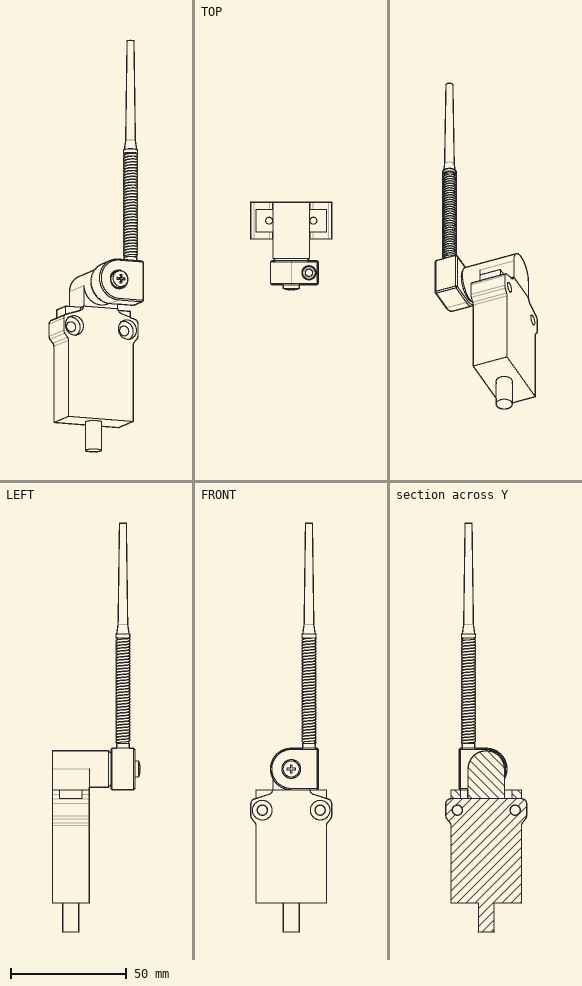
import cadquery as cq
import math


body_width = 30.5
body_depth = 16.0
body_height = 49.0
lug_width = 35.0
lug_slope_angle = 17.5
shoulder_half_width = 8.1
shoulder_edge_height = 44.55
lug_bottom_height = 37.0
lug_foot_height = 34.2
lug_edge_radius = 2.0
mount_spacing = 25.0
mount_height = 40.2
mount_hole_diameter = 4.3
counterbore_diameter = 8.5
counterbore_depth = 3.5
cable_diameter = 7.0
cable_length = 12.5

head_radius = 7.9
axis_height = 58.0
head_length = 25.25
head_end_chamfer = 1.0
flange_depth = 9.7
flange_height = 3.75
flange_hole_diameter = 3.0
flange_hole_x = 9.55

lever_radius = 9.0
lever_end_x = 11.75
lever_thickness = 10.5
lever_chamfer = 0.6
recess_diameter = 8.13
recess_depth = 0.8
overall_depth = 37.96
screw_diameter = 7.0
screw_crown_height = 0.7
cross_length = 3.6
cross_width = 0.8
cross_depth = 1.0

rod_x = 7.65
overall_height = 176.75
rod_tip_diameter = 3.1
rod_base_diameter = 4.3
cone_diameter = 5.5
collar_diameter = 6.1
stub_diameter = 5.5
socket_depth = 5.0
stub_length = 2.0
coil_core_diameter = 5.0
wire_diameter = collar_diameter - coil_core_diameter
wire_embed = 0.1
coil_length = 45.7
coil_pitch = 1.275
collar_height = 1.6
cone_height = 4.1

lever_back_y = -head_length
lever_front_y = lever_back_y - lever_thickness
rod_y = lever_back_y - lever_thickness / 2
lever_top_z = axis_height + lever_radius
flange_bottom_z = body_height - flange_height


def make_housing():
    """Body with two mounting lugs, a slot for the head's flange and the cable."""
    half_body = body_width / 2
    half_lug = lug_width / 2
    slope_rise = (half_lug - shoulder_half_width) * math.tan(math.radians(lug_slope_angle))
    right_side = [
        (half_body, 0),
        (half_body, lug_foot_height),
        (half_lug, lug_bottom_height),
        (half_lug, shoulder_edge_height),
        (shoulder_half_width, shoulder_edge_height + slope_rise),
        (shoulder_half_width, body_height),
    ]
    left_side = [(-x, z) for x, z in reversed(right_side)]
    housing = cq.Workplane("XZ").polyline(right_side + left_side).close().extrude(body_depth)
    for x, z in right_side[1:5] + left_side[1:5]:
        edge_point = (x, -body_depth / 2, z)
        housing = housing.edges(cq.selectors.NearestToPointSelector(edge_point)).fillet(lug_edge_radius)

    mount_points = [(side * mount_spacing / 2, mount_height) for side in (-1, 1)]
    mount_holes = (
        cq.Workplane("XZ").pushPoints(mount_points).circle(mount_hole_diameter / 2).extrude(body_depth)
    )
    counterbores = (
        cq.Workplane("XZ", origin=(0, -body_depth, 0))
        .pushPoints(mount_points)
        .circle(counterbore_diameter / 2)
        .extrude(-counterbore_depth)
    )
    cable = (
        cq.Workplane("XY", origin=(0, -body_depth / 2, 0))
        .circle(cable_diameter / 2)
        .extrude(-cable_length)
    )
    return housing.cut(mount_holes).cut(counterbores).cut(flange_block()).union(cable)


def flange_block():
    """Block that fills the slot across the housing's top."""
    return (
        cq.Workplane("XY", origin=(0, -body_depth / 2, flange_bottom_z))
        .rect(body_width, flange_depth)
        .extrude(flange_height)
    )


def make_head():
    """Arched block with a cylindrical nose, standing on a drilled flange."""
    block = (
        cq.Workplane("XZ")
        .moveTo(-head_radius, body_height)
        .lineTo(head_radius, body_height)
        .lineTo(head_radius, axis_height)
        .threePointArc((0, axis_height + head_radius), (-head_radius, axis_height))
        .close()
        .extrude(body_depth)
    )
    nose = (
        cq.Workplane("XZ", origin=(0, 0, axis_height))
        .circle(head_radius)
        .extrude(head_length)
        .faces("<Y")
        .chamfer(head_end_chamfer)
    )
    flange_holes = (
        cq.Workplane("XY", origin=(0, -body_depth / 2, flange_bottom_z))
        .pushPoints([(-flange_hole_x, 0), (flange_hole_x, 0)])
        .circle(flange_hole_diameter / 2)
        .extrude(flange_height)
    )
    return block.union(nose).union(flange_block().cut(flange_holes))


def make_lever():
    """D-shaped lever with a rod socket and a cross-recessed screw head in its front face."""
    lever = (
        cq.Workplane("XZ", origin=(0, lever_back_y, axis_height))
        .moveTo(0, lever_radius)
        .lineTo(lever_end_x, lever_radius)
        .lineTo(lever_end_x, -lever_radius)
        .lineTo(0, -lever_radius)
        .threePointArc((-lever_radius, 0), (0, lever_radius))
        .close()
        .extrude(lever_thickness)
        .faces("<Y or >Y or >X")
        .edges()
        .chamfer(lever_chamfer)
    )
    recess_floor_y = lever_front_y + recess_depth
    recess = (
        cq.Workplane("XZ", origin=(0, recess_floor_y, axis_height))
        .circle(recess_diameter / 2)
        .extrude(recess_depth)
    )
    socket = (
        cq.Workplane("XY", origin=(rod_x, rod_y, lever_top_z))
        .circle(stub_diameter / 2)
        .extrude(-socket_depth)
    )
    return lever.cut(recess).cut(socket).union(screw_head(recess_floor_y))


def screw_head(floor_y):
    """Screw head with a domed top and a cross recess, standing on the plane Y = floor_y."""
    screw_radius = screw_diameter / 2
    dome_radius = (screw_radius**2 + screw_crown_height**2) / (2 * screw_crown_height)
    corner_radius = math.hypot(cross_width / 2, cross_width / 2)
    apex_y = -overall_depth - (dome_radius - math.sqrt(dome_radius**2 - corner_radius**2))
    crown_base_y = apex_y + screw_crown_height
    half_angle = math.asin(screw_radius / dome_radius) / 2
    arc_middle = (
        dome_radius * math.sin(half_angle),
        apex_y + dome_radius * (1 - math.cos(half_angle)),
    )
    head = (
        cq.Workplane("XY", origin=(0, 0, axis_height))
        .moveTo(0, floor_y)
        .lineTo(screw_radius, floor_y)
        .lineTo(screw_radius, crown_base_y)
        .threePointArc(arc_middle, (0, apex_y))
        .close()
        .revolve(360, (0, 0, 0), (0, 1, 0))
    )
    cross_start = cq.Workplane("XZ", origin=(0, apex_y, axis_height))
    flat_slot = cross_start.rect(cross_length, cross_width).extrude(-cross_depth)
    upright_slot = cross_start.rect(cross_width, cross_length).extrude(-cross_depth)
    return head.cut(flat_slot).cut(upright_slot)


def make_rod():
    """Tapered rod on a coiled flexible stem, with a plain stub that sits in the lever's socket."""
    coil_bottom = lever_top_z + stub_length
    coil_top = coil_bottom + coil_length
    collar_top = coil_top + collar_height
    cone_top = collar_top + cone_height
    tip = overall_height - cable_length
    stem = (
        cq.Workplane("XZ", origin=(rod_x, rod_y, 0))
        .moveTo(0, lever_top_z - socket_depth)
        .lineTo(stub_diameter / 2, lever_top_z - socket_depth)
        .lineTo(stub_diameter / 2, coil_bottom)
        .lineTo(coil_core_diameter / 2, coil_bottom)
        .lineTo(coil_core_diameter / 2, coil_top)
        .lineTo(collar_diameter / 2, coil_top)
        .lineTo(collar_diameter / 2, collar_top)
        .lineTo(cone_diameter / 2, collar_top)
        .lineTo(rod_base_diameter / 2, cone_top)
        .lineTo(rod_tip_diameter / 2, tip)
        .lineTo(0, tip)
        .close()
        .revolve(360, (0, 0, 0), (0, 1, 0))
    )
    return stem.union(coil_wire(coil_bottom))


def coil_wire(bottom_z):
    """Round wire with a flattened inner side, wound around the stem's core."""
    coil_radius = coil_core_diameter / 2
    path = cq.Wire.makeHelix(coil_pitch, coil_length - wire_diameter, coil_radius)
    wire_radius = wire_diameter / 2
    inner_radius = coil_radius - wire_embed
    inner_half_width = math.sqrt(wire_radius**2 - wire_embed**2)
    wire = (
        cq.Workplane("XZ")
        .moveTo(inner_radius, -inner_half_width)
        .threePointArc((coil_radius + wire_radius, 0), (inner_radius, inner_half_width))
        .close()
        .sweep(cq.Workplane(path), isFrenet=True)
    )
    return wire.translate((rod_x, rod_y, bottom_z + wire_diameter / 2))


housing = make_housing()
head = make_head()
lever = make_lever()
rod = make_rod()

result = cq.Compound.makeCompound([housing.val(), head.val(), lever.val(), rod.val()])